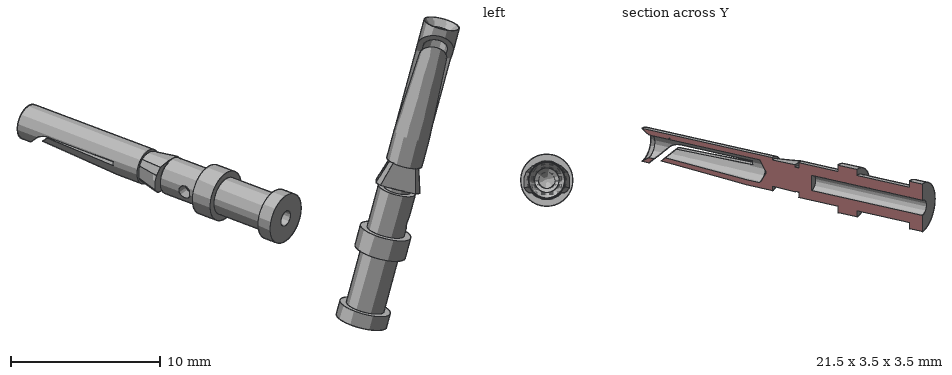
import cadquery as cq
import math

length = 21.5

slot_end = 8.0
sleeve_end = 10.0
flare_end = 11.74
neck_end = 12.0
hole_position = 14.0
collar_start = 15.0
collar_end = 16.5
rim_start = 20.5

sleeve_radius = 1.23
neck_radius = 0.9
barrel_radius = 1.3
flange_radius = 1.752
rear_radius = 1.31

socket_radius = 0.82
lead_in_radius = 1.03
mouth_radius = 1.18
mouth_depth = 0.2
lead_in_depth = 0.52
socket_depth = 9.0
drill_angle = 118.0

slot_top = 0.24
leaf_top = -0.05
leaf_tip_x = 1.38
leaf_tip_z = -0.95
leaf_tip_inner_radius = 0.54
leaf_tip_outer_radius = 0.88
cut_start = 0.52
cut_arc_start = (1.46, -0.28)
cut_arc_middle = (2.0, 0.1)
cut_arc_end = 2.62

wire_bore_radius = 0.54
wire_bore_start = 13.0
inspection_hole_radius = 0.45

flare_start_corners = [
    (0.25, 1.03), (0.67, 0.88), (0.95, 0.5), (0.99, 0.22),
    (0.99, -0.43), (0.9, -0.6), (0.75, -0.77), (0.32, -0.9),
]
flare_end_corners = [
    (0.52, 1.03), (0.92, 0.99), (1.38, 0.55), (1.53, 0.17),
    (1.53, -0.5), (1.35, -0.73), (1.2, -0.84), (0.43, -0.95),
]
flare_start_top = 1.05
flare_end_top = 1.08


def revolve_profile(points):
    """Revolve a closed (X, radius) outline about the X axis."""
    outline = cq.Workplane("XY").polyline(points).close()
    return outline.revolve(360, (0, 0, 0), (1, 0, 0))


def rod(start, end, radius):
    return cq.Workplane("YZ", origin=(start, 0, 0)).circle(radius).extrude(end - start)


def make_outer_body():
    sections = [
        (sleeve_end, neck_end, neck_radius),
        (neck_end, collar_start, barrel_radius),
        (collar_start, collar_end, flange_radius),
        (collar_end, rim_start, rear_radius),
        (rim_start, length, flange_radius),
    ]
    body = rod(0, sleeve_end, sleeve_radius)
    for start, end, radius in sections:
        body = body.union(rod(start, end, radius))
    return body


def flare_outline(corners, top):
    """Close one flare section, mirrored about the XZ plane."""
    mirrored = [(-y, z) for y, z in reversed(corners)]
    return [(0, top)] + corners + mirrored


def make_flare():
    start_outline = flare_outline(flare_start_corners, flare_start_top)
    end_outline = flare_outline(flare_end_corners, flare_end_top)
    flare = cq.Workplane("YZ", origin=(sleeve_end, 0, 0)).polyline(start_outline).close()
    flare = flare.workplane(offset=flare_end - sleeve_end).polyline(end_outline).close()
    return flare.loft(ruled=True)


def make_socket_bore():
    point_length = socket_radius / math.tan(math.radians(drill_angle / 2))
    return revolve_profile([
        (0, 0),
        (0, mouth_radius),
        (mouth_depth, lead_in_radius),
        (lead_in_depth, socket_radius),
        (socket_depth, socket_radius),
        (socket_depth + point_length, 0),
    ])


def make_sleeve_cut():
    """Remove the lower half of the sleeve between the mouth and the slot end."""
    outline = (
        cq.Workplane("XZ")
        .moveTo(cut_start, -sleeve_radius)
        .lineTo(*cut_arc_start)
        .threePointArc(cut_arc_middle, (cut_arc_end, slot_top))
        .lineTo(slot_end, slot_top)
        .lineTo(slot_end, -sleeve_radius)
        .close()
    )
    return outline.extrude(sleeve_radius, both=True)


def make_leaf():
    """Tapered half shell with its free end cut at 45 degrees."""
    shell = revolve_profile([
        (leaf_tip_x, leaf_tip_inner_radius),
        (leaf_tip_x, leaf_tip_outer_radius),
        (slot_end, sleeve_radius),
        (slot_end, socket_radius),
    ])
    leaf_height = leaf_top - leaf_tip_z
    depth_below_tip = sleeve_radius + leaf_tip_z
    outline = cq.Workplane("XZ").polyline([
        (leaf_tip_x - depth_below_tip, -sleeve_radius),
        (leaf_tip_x + leaf_height, leaf_top),
        (slot_end, leaf_top),
        (slot_end, -sleeve_radius),
    ]).close()
    return shell.intersect(outline.extrude(sleeve_radius, both=True))


def make_inspection_hole():
    hole = cq.Workplane("XZ").center(hole_position, 0).circle(inspection_hole_radius)
    return hole.extrude(barrel_radius)


result = (
    make_outer_body()
    .union(make_flare())
    .cut(make_socket_bore())
    .cut(make_sleeve_cut())
    .union(make_leaf())
    .cut(rod(wire_bore_start, length, wire_bore_radius))
    .cut(make_inspection_hole())
)